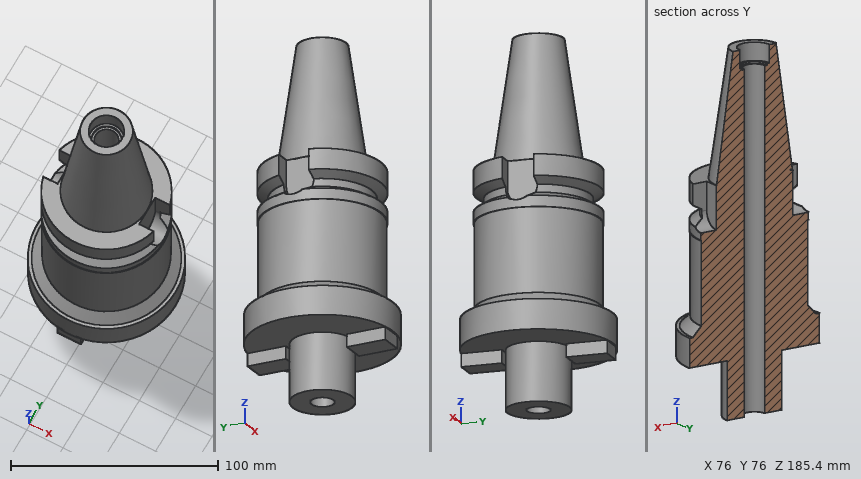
import cadquery as cq

total_height = 185.4
spigot_height = 30.0
collar_top = 45.2
body_top = 93.3
groove_bottom = 101.8
groove_top = 105.9
upper_flange_bottom = 108.8
flange_top = 119.5
gauge_height = 120.0

spigot_radius = 16.0
collar_radius = 38.0
body_radius = 31.1
flange_radius = 31.5
groove_radius = 26.5
taper_radius = 22.2
taper_ratio = 7 / 24

collar_bevel = 5.0
groove_bevel = upper_flange_bottom - groove_top

mouth_radius = 8.5
mouth_depth = 9.3
step_radius = 7.2
step_depth = 1.0
through_radius = 6.0

slot_width = 16.1
slot_floor_x = 22.5
slot_bottom = 97.1

key_width = 13.0
key_height = 6.7
key_inner_y = 16.5
key_outer_y = 37.3


def turned_body():
    """Revolve the spigot, collar, body, grooved flange and taper shank."""
    taper_tip_radius = taper_radius - (total_height - gauge_height) * taper_ratio / 2
    outline = [
        (0, 0),
        (spigot_radius, 0),
        (spigot_radius, spigot_height),
        (collar_radius, spigot_height),
        (collar_radius, collar_top),
        (body_radius + collar_bevel, collar_top),
        (body_radius, collar_top + collar_bevel),
        (body_radius, body_top),
        (flange_radius, body_top),
        (flange_radius, groove_bottom - groove_bevel),
        (groove_radius, groove_bottom),
        (groove_radius, groove_top),
        (flange_radius, upper_flange_bottom),
        (flange_radius, flange_top),
        (taper_radius, flange_top),
        (taper_radius, gauge_height),
        (taper_tip_radius, total_height),
        (0, total_height),
    ]
    return cq.Workplane("XZ").polyline(outline).close().revolve(360, (0, 0), (0, 1))


def bore():
    """Through hole with two larger steps at the taper end."""
    def drill(radius, depth):
        return cq.Workplane(origin=(0, 0, total_height - depth)).circle(radius).extrude(depth)

    return (
        drill(through_radius, total_height)
        .union(drill(step_radius, mouth_depth + step_depth))
        .union(drill(mouth_radius, mouth_depth))
    )


def drive_slot():
    """Round-bottomed slot on the +X side, open at the top of the flange."""
    half_width = slot_width / 2
    arc_center = slot_bottom + half_width
    return (
        cq.Workplane("YZ", origin=(slot_floor_x, 0, 0))
        .moveTo(-half_width, flange_top)
        .lineTo(-half_width, arc_center)
        .threePointArc((0, slot_bottom), (half_width, arc_center))
        .lineTo(half_width, flange_top)
        .close()
        .extrude(collar_radius - slot_floor_x)
    )


def driving_key():
    """Rectangular key on the +Y side of the collar's lower face."""
    return cq.Workplane().box(
        key_width, key_outer_y - key_inner_y, key_height, centered=(True, False, False)
    ).translate((0, key_inner_y, spigot_height - key_height))


result = turned_body().cut(bore())
for angle in (0, 180):
    result = result.cut(drive_slot().rotate((0, 0, 0), (0, 0, 1), angle))
    result = result.union(driving_key().rotate((0, 0, 0), (0, 0, 1), angle))